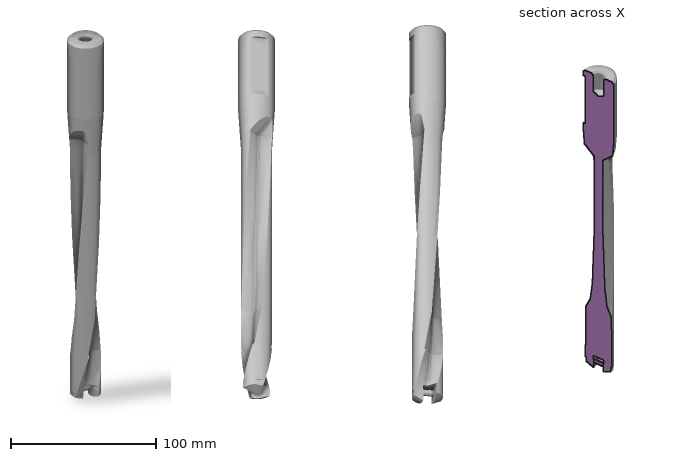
import cadquery as cq
import math

LENGTH = 281.5
SHANK_RADIUS = 12.7
SHANK_BOTTOM = 224.3
SHANK_CHAMFER = 1.7
BODY_DIAMETER = 21.7
BODY_RADIUS = BODY_DIAMETER / 2
NECK_BOTTOM = 195.3

FLAT_DEPTH = 1.7
FLAT_BOTTOM = 230.8
FLAT_TOP = 275.2

BORE_RADIUS = 4.2
BORE_DEPTH = 17.0
BORE_POINT_DEPTH = 2.5
COUNTERSINK = 1.5

FLUTE_COUNT = 2
FLUTE_BREAKS = [(0.0, 143.0), (35.5, 202.0), (64.5, 230.0), (202.5, 285.0)]
FLUTE_ANGLES = [88.0, 98.0, 98.0]
FLUTE_FLOOR_DISTANCE = 3.7
FLUTE_FLOOR_WIDTH = 1.7
FLUTE_REACH = BODY_DIAMETER
RUNOUT_HEIGHT = 17.0
RUNOUT_SHIFT = 14.0
RUNOUT_DIRECTION = 335.0

TIP_HEIGHT = 3.5
SLOT_WIDTH = 7.3
SLOT_DEPTH = 11.3
GROOVE_WIDTH = 8.5
GROOVE_HEIGHT = 2.0
GROOVE_CHAMFER_HEIGHT = 1.7

JAW_FLAT_DEPTH = 0.5
JAW_FLAT_HEIGHT = 7.3

PIN_DIAMETER = 4.2
PIN_HEIGHT = 7.0


def turned(outline):
    """Solid of revolution about Z from an outline of (radius, height) points."""
    return cq.Workplane("XZ").polyline(outline).close().revolve(360, (0, 0), (0, 1))


def blank():
    """Turned blank: shank, tapered neck, slender body and conical tip with a flat end."""
    tip_radius = SLOT_WIDTH / 2
    outline = [
        (0, 0),
        (tip_radius, 0),
        (BODY_RADIUS, TIP_HEIGHT),
        (BODY_RADIUS, NECK_BOTTOM),
        (SHANK_RADIUS, SHANK_BOTTOM),
        (SHANK_RADIUS, LENGTH - SHANK_CHAMFER),
        (SHANK_RADIUS - SHANK_CHAMFER, LENGTH),
        (0, LENGTH),
    ]
    return turned(outline)


def shank_flat():
    cutter = cq.Workplane("XY").box(
        2 * SHANK_RADIUS, FLAT_DEPTH, FLAT_TOP - FLAT_BOTTOM, centered=(True, False, False)
    )
    return cutter.translate((0, SHANK_RADIUS - FLAT_DEPTH, FLAT_BOTTOM))


def coolant_bore():
    wall_bottom = LENGTH - BORE_DEPTH
    outline = [
        (0, wall_bottom - BORE_POINT_DEPTH),
        (BORE_RADIUS, wall_bottom),
        (BORE_RADIUS, LENGTH - COUNTERSINK),
        (BORE_RADIUS + COUNTERSINK, LENGTH),
        (0, LENGTH),
    ]
    return turned(outline)


def flute_section(height, opening):
    """V-shaped section with a narrow flat floor, opening towards +X."""
    half_angle = math.radians(opening / 2)
    edge = (BODY_RADIUS * math.cos(half_angle), BODY_RADIUS * math.sin(half_angle))
    floor = (FLUTE_FLOOR_DISTANCE, FLUTE_FLOOR_WIDTH / 2)
    slope = (edge[1] - floor[1]) / (edge[0] - floor[0])
    outer = (FLUTE_REACH, floor[1] + slope * (FLUTE_REACH - floor[0]))
    points = [floor, outer, (outer[0], -outer[1]), (floor[0], -floor[1])]
    return cq.Workplane("XY", origin=(0, 0, height)).polyline(points).close()


def about_axis(shape, angle):
    return shape.rotate((0, 0, 0), (0, 0, 1), angle)


def flute_parts():
    """Twisted stretches of one flute, then the sloping runout into the neck."""
    parts = []
    for lower, upper, opening in zip(FLUTE_BREAKS, FLUTE_BREAKS[1:], FLUTE_ANGLES):
        low, low_angle = lower
        high, high_angle = upper
        stretch = flute_section(low, opening).twistExtrude(high - low, high_angle - low_angle)
        parts.append(about_axis(stretch, low_angle))
    top, top_angle = FLUTE_BREAKS[-1]
    turn = math.radians(RUNOUT_DIRECTION - top_angle)
    shift = cq.Vector(RUNOUT_SHIFT * math.cos(turn), RUNOUT_SHIFT * math.sin(turn), RUNOUT_HEIGHT)
    profile = flute_section(top, FLUTE_ANGLES[-1]).wires().val()
    runout = cq.Solid.makeLoft([profile, profile.translate(shift)], True)
    parts.append(about_axis(cq.Workplane(runout), top_angle))
    return parts


def insert_slot():
    """Slot through the tip along X, widening through chamfers into the groove at its floor."""
    groove_bottom = SLOT_DEPTH - GROOVE_HEIGHT
    wall_top = groove_bottom - GROOVE_CHAMFER_HEIGHT
    right_side = [
        (SLOT_WIDTH / 2, 0),
        (SLOT_WIDTH / 2, wall_top),
        (GROOVE_WIDTH / 2, groove_bottom),
        (GROOVE_WIDTH / 2, SLOT_DEPTH),
    ]
    left_side = [(-y, z) for y, z in reversed(right_side)]
    return cq.Workplane("YZ").polyline(right_side + left_side).close().extrude(BODY_RADIUS, both=True)


def jaw_flat():
    cutter = cq.Workplane("XY").box(
        BODY_DIAMETER, JAW_FLAT_DEPTH, JAW_FLAT_HEIGHT, centered=(True, False, False)
    )
    return cutter.translate((0, BODY_RADIUS - JAW_FLAT_DEPTH, 0))


def drill():
    body = blank().cut(shank_flat()).cut(coolant_bore())
    for index in range(FLUTE_COUNT):
        angle = index * 360 / FLUTE_COUNT
        for part in flute_parts():
            body = body.cut(about_axis(part, angle))
        body = body.cut(about_axis(jaw_flat(), angle))
    return body.cut(insert_slot())


def cross_pin():
    """Pin along Y that spans the slot from wall to wall."""
    start = cq.Vector(0, -SLOT_WIDTH / 2, PIN_HEIGHT)
    return cq.Workplane(cq.Solid.makeCylinder(PIN_DIAMETER / 2, SLOT_WIDTH, start, cq.Vector(0, 1, 0)))


result = cq.Compound.makeCompound([*drill().vals(), *cross_pin().vals()])